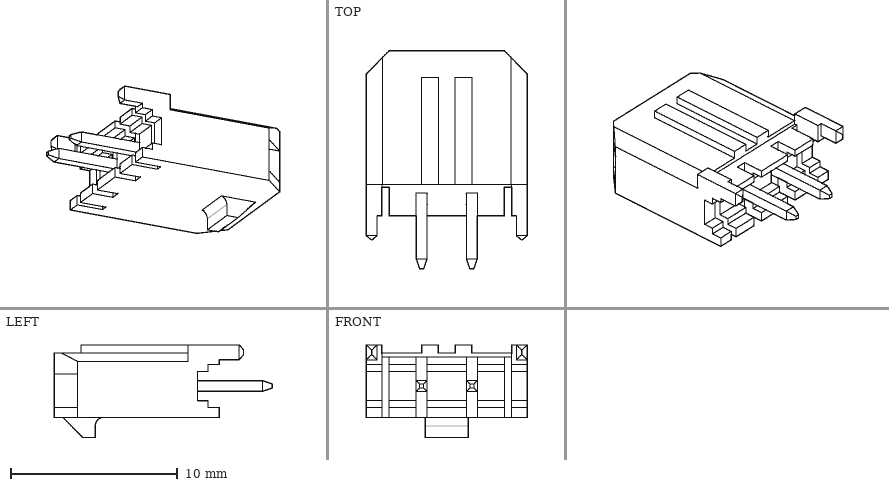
import cadquery as cq
import math


SIDES = (-1, 1)

WIDTH = 9.65
HALF_WIDTH = WIDTH / 2
MATING_Y = 13.08
FOOT_Y = 3.18
SHOULDER_Y = 5.05
DECK_Z = 3.88
SHELF_Z = 3.62
TOP_Z = 4.37

BEVEL_WIDTH = 0.97
BEVEL_HEIGHT = 0.51

CORNER_WIDTH = 1.37
CORNER_LENGTH = 1.4
NOTCH_BOTTOM_Z = 0.61
NOTCH_TOP_Z = 2.63

RIB_WIDTH = 1.01
RIB_PITCH = 2 * RIB_WIDTH
RIB_END_Y = 11.48

STEP_Y = 3.85
STEP_BOTTOM_Z = 0.61
STEP_TOP_Z = 3.18
RECESS_Y = 4.47
RECESS_BOTTOM_Z = 1.02
RECESS_TOP_Z = 2.76

SIDE_SLOT_INNER_X = HALF_WIDTH - CORNER_WIDTH
EAR_INNER_X = 3.88
SIDE_SLOT_END_Y = 4.88

PIN_PITCH = 3.01
PIN_SIZE = 0.65
PIN_Z = 1.9
PIN_TAPER = 0.59
PIN_TIP_SIZE = 0.25
PIN_SLOT_END_Y = 4.54

PEG_WIDTH = 0.65
PEG_HEIGHT = 0.9
PEG_TIP_Y = 1.73
PEG_TAPER = 0.26
PEG_TIP_WIDTH = 0.05
PEG_TIP_HEIGHT = 0.31

LATCH_WIDTH = 2.6
LATCH_DEPTH = 1.2
LATCH_RAMP_Y = 12.55
LATCH_TIP_Y = 11.37
LATCH_CATCH_Y = 10.61
LATCH_ARC_DEPTH = 0.5
LATCH_ARC_RADIUS = 0.52


def box(x0, x1, y0, y1, z0, z1):
    """Box between two opposite corners, whose X limits may come in either order."""
    corner = (min(x0, x1), y0, z0)
    return cq.Workplane("XY").box(abs(x1 - x0), y1 - y0, z1 - z0, centered=False).translate(corner)


def centred_box(x, width, y0, y1, z0, z1):
    """Box centred on x."""
    return box(x - width / 2, x + width / 2, y0, y1, z0, z1)


def tapered_bar(x, z, size, tip_size, tip_y, taper, root_y):
    """Bar along Y, centred on (x, z), that narrows to a small flat at its -Y end."""
    width, height = size
    shank_y = tip_y + taper
    shank = centred_box(x, width, shank_y, root_y, z - height / 2, z + height / 2)
    tip = (
        cq.Workplane("XZ", origin=(x, shank_y, z))
        .rect(width, height)
        .workplane(offset=taper)
        .rect(*tip_size)
        .loft(ruled=True)
    )
    return shank.union(tip)


def make_shell():
    """Bevelled main block, with the lower shelf at its board end."""
    bevel_z = DECK_Z - BEVEL_HEIGHT
    deck_half_width = HALF_WIDTH - BEVEL_WIDTH
    section = [
        (-HALF_WIDTH, 0),
        (HALF_WIDTH, 0),
        (HALF_WIDTH, bevel_z),
        (deck_half_width, DECK_Z),
        (-deck_half_width, DECK_Z),
        (-HALF_WIDTH, bevel_z),
    ]
    block = (
        cq.Workplane("XZ", origin=(0, MATING_Y, 0))
        .polyline(section)
        .close()
        .extrude(MATING_Y - SHOULDER_Y)
    )
    shelf = box(-HALF_WIDTH, HALF_WIDTH, FOOT_Y, SHOULDER_Y, 0, SHELF_Z)
    return block.union(shelf)


def make_corner_cut(side):
    """Chamfer of a mating corner, together with its square notch."""
    outer_x = side * HALF_WIDTH
    inner_x = side * (HALF_WIDTH - CORNER_WIDTH)
    start_y = MATING_Y - CORNER_LENGTH
    chamfer = (
        cq.Workplane("XY")
        .polyline([(outer_x, MATING_Y), (inner_x, MATING_Y), (outer_x, start_y)])
        .close()
        .extrude(DECK_Z)
    )
    notch = box(outer_x, inner_x, start_y, MATING_Y, NOTCH_BOTTOM_Z, NOTCH_TOP_Z)
    return chamfer.union(notch)


def make_ear(side):
    """Raised block at the side of the shelf."""
    return box(side * EAR_INNER_X, side * HALF_WIDTH, FOOT_Y, SHOULDER_Y, 0, TOP_Z)


def make_rib(side):
    return centred_box(side * RIB_PITCH / 2, RIB_WIDTH, SHOULDER_Y, RIB_END_Y, DECK_Z, TOP_Z)


def make_stepped_recess():
    """Recess across the full width of the board end, narrower at its inner step."""
    outer_step = box(-HALF_WIDTH, HALF_WIDTH, FOOT_Y, STEP_Y, STEP_BOTTOM_Z, STEP_TOP_Z)
    inner_step = box(-HALF_WIDTH, HALF_WIDTH, FOOT_Y, RECESS_Y, RECESS_BOTTOM_Z, RECESS_TOP_Z)
    return outer_step.union(inner_step)


def make_side_slot(side):
    return box(side * SIDE_SLOT_INNER_X, side * EAR_INNER_X, FOOT_Y, SIDE_SLOT_END_Y, 0, SHELF_Z)


def make_pin_slot(side):
    return centred_box(side * PIN_PITCH / 2, PIN_SIZE, FOOT_Y, PIN_SLOT_END_Y, 0, SHELF_Z)


def make_peg(side):
    """Board peg, flush with the top and the outer side of its ear."""
    return tapered_bar(
        side * (HALF_WIDTH - PEG_WIDTH / 2),
        TOP_Z - PEG_HEIGHT / 2,
        (PEG_WIDTH, PEG_HEIGHT),
        (PEG_TIP_WIDTH, PEG_TIP_HEIGHT),
        PEG_TIP_Y,
        PEG_TAPER,
        FOOT_Y,
    )


def make_latch():
    """Ramped latch, with a hollow round where its catch face meets the floor."""
    arc_reach = LATCH_ARC_RADIUS - math.sqrt(LATCH_ARC_RADIUS**2 - LATCH_ARC_DEPTH**2)
    return (
        cq.Workplane("YZ", origin=(-LATCH_WIDTH / 2, 0, 0))
        .moveTo(LATCH_RAMP_Y, 0)
        .lineTo(LATCH_TIP_Y, -LATCH_DEPTH)
        .lineTo(LATCH_CATCH_Y, -LATCH_DEPTH)
        .lineTo(LATCH_CATCH_Y, -LATCH_ARC_DEPTH)
        .radiusArc((LATCH_CATCH_Y - arc_reach, 0), -LATCH_ARC_RADIUS)
        .close()
        .extrude(LATCH_WIDTH)
    )


def make_housing():
    housing = make_shell().union(make_latch())
    for side in SIDES:
        housing = housing.union(make_ear(side)).union(make_rib(side)).cut(make_corner_cut(side))
    housing = housing.cut(make_stepped_recess())
    for side in SIDES:
        housing = housing.cut(make_side_slot(side)).cut(make_pin_slot(side)).union(make_peg(side))
    return housing


def make_pin(side):
    """Square pin that fits its slot and starts at the slot's end wall."""
    return tapered_bar(
        side * PIN_PITCH / 2,
        PIN_Z,
        (PIN_SIZE, PIN_SIZE),
        (PIN_TIP_SIZE, PIN_TIP_SIZE),
        0,
        PIN_TAPER,
        PIN_SLOT_END_Y,
    )


housing = make_housing()
pins = [make_pin(side) for side in SIDES]

result = cq.Compound.makeCompound([housing.val(), *[pin.val() for pin in pins]])